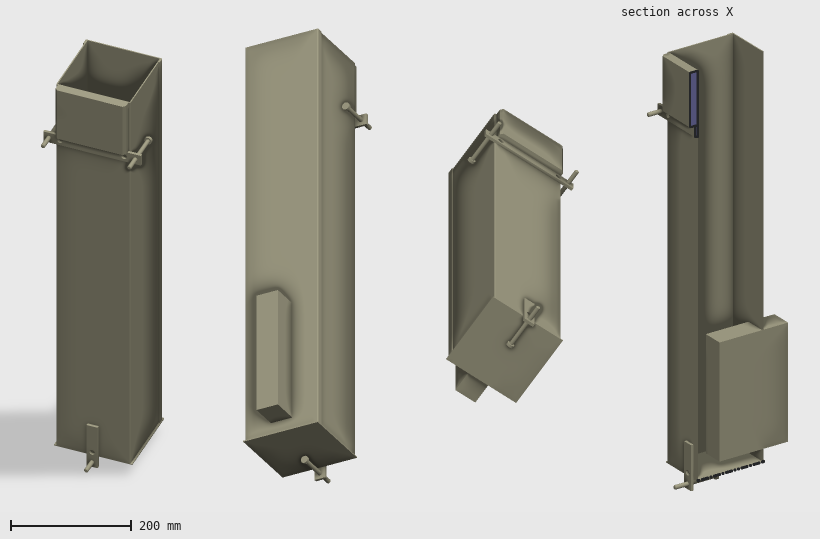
import cadquery as cq


sheet = 2.0
duct_width = 133.5
duct_bend_radius = 2.0
total_height = 772.0
strap_overhang = 21.0
duct_top = total_height - strap_overhang

cover_width = duct_width + 2 * sheet
cover_back = 133.5
flange_length = 11.5
cover_front = cover_back - flange_length
duct_back = cover_back - sheet

base_width = 140.5
base_back = 137.5

block_width = 40.0
block_front = 45.5
block_back = 184.0
block_bottom = 24.0
block_height = 218.0

strap_width = 20.0
strap_thickness = 5.0
fixing_diameter = 10.0
fixing_pitch = 20.0
upper_strap_length = 175.0
upper_strap_z = 641.0
lower_strap_length = 84.0
bolt_end_distance = 10.0
upper_bolt_x = upper_strap_length / 2 - bolt_end_distance
lower_bolt_z = bolt_end_distance - strap_overhang

bolt_tip = -32.0
bolt_head_back = 54.0
bolt_head_diameter = 13.0
bolt_head_thickness = 5.0
shank_diameter = 7.3
thread_diameter = 8.0
thread_back = 7.0
tip_chamfer = 1.15

hood_width = 126.5
hood_depth = 15.0
hood_chamfer = 5.0
hood_bottom = upper_strap_z + strap_width / 2


def box(width, y_front, y_back, z_bottom, z_top):
    """Block centred on X = 0 between the given Y and Z limits."""
    return (
        cq.Workplane("XY")
        .box(width, y_back - y_front, z_top - z_bottom, centered=(True, False, False))
        .translate((0, y_front, z_bottom))
    )


def rod(diameter, y_front, y_back):
    """Cylinder on the Y axis between two Y positions."""
    return cq.Workplane("XZ", origin=(0, y_back, 0)).circle(diameter / 2).extrude(y_back - y_front)


def make_duct():
    outside = box(duct_width, 0, duct_back, sheet, duct_top).edges("|Z and <Y").fillet(duct_bend_radius)
    inside = box(duct_width - 2 * sheet, sheet, duct_back, sheet, duct_top)
    return outside.cut(inside)


def make_block():
    return box(block_width, block_front, block_back, block_bottom, block_bottom + block_height)


def make_cover():
    outside = box(cover_width, cover_front, cover_back, sheet, duct_top).edges("|Z and >Y").fillet(sheet)
    inside = box(duct_width, cover_front, duct_back, sheet, duct_top)
    return outside.cut(inside).cut(make_block())


def make_base():
    return box(base_width, 0, base_back, 0, sheet)


def make_hood():
    hood = box(hood_width, -hood_depth, 0, hood_bottom, duct_top)
    return hood.edges("|Z and <Y").chamfer(hood_chamfer)


def drill(strap, diameter, x, z):
    return strap.cut(rod(diameter, -strap_thickness, 0).translate((x, 0, z)))


def make_upper_strap():
    z_bottom = upper_strap_z - strap_width / 2
    strap = box(upper_strap_length, -strap_thickness, 0, z_bottom, z_bottom + strap_width)
    for side in (-1, 1):
        strap = drill(strap, thread_diameter, side * upper_bolt_x, upper_strap_z)
        strap = drill(strap, fixing_diameter, side * (upper_bolt_x - fixing_pitch), upper_strap_z)
    return strap


def make_lower_strap():
    z_top = lower_strap_length - strap_overhang
    strap = box(strap_width, -strap_thickness, 0, -strap_overhang, z_top)
    strap = drill(strap, thread_diameter, 0, lower_bolt_z)
    return drill(strap, fixing_diameter, 0, lower_bolt_z + fixing_pitch)


def make_bolt(x, z):
    head_front = bolt_head_back - bolt_head_thickness
    head = rod(bolt_head_diameter, head_front, bolt_head_back)
    shank = rod(shank_diameter, thread_back, head_front)
    thread = rod(thread_diameter, bolt_tip, thread_back).faces("<Y").chamfer(tip_chamfer)
    return head.union(shank).union(thread).translate((x, 0, z))


duct = make_duct()
cover = make_cover()
base = make_base()
block = make_block()
hood = make_hood()
upper_strap = make_upper_strap()
lower_strap = make_lower_strap()

bolt_places = [(-upper_bolt_x, upper_strap_z), (upper_bolt_x, upper_strap_z), (0, lower_bolt_z)]
bolts = [make_bolt(x, z) for x, z in bolt_places]

result = cq.Compound.makeCompound(
    [
        duct.val(),
        cover.val(),
        base.val(),
        block.val(),
        hood.val(),
        upper_strap.val(),
        lower_strap.val(),
        *[bolt.val() for bolt in bolts],
    ]
)